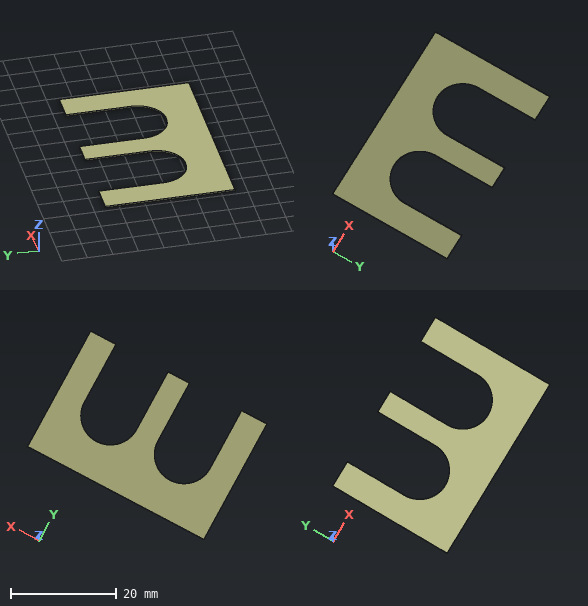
import cadquery as cq

plate_width = 38.1
plate_depth = 25.4
plate_thickness = 0.4

slot_width = 11.25
slot_spacing = 15.9
slot_radius = slot_width / 2
slot_length = plate_depth / 2


def slot_cutter(center_x):
    """U-shaped slot whose round end is centred on the X axis."""
    return (
        cq.Workplane("XY")
        .moveTo(center_x - slot_radius, slot_length)
        .lineTo(center_x - slot_radius, 0)
        .threePointArc((center_x, -slot_radius), (center_x + slot_radius, 0))
        .lineTo(center_x + slot_radius, slot_length)
        .close()
        .extrude(plate_thickness)
    )


result = cq.Workplane("XY").box(
    plate_width, plate_depth, plate_thickness, centered=(True, True, False)
)
for side in (-1, 1):
    result = result.cut(slot_cutter(side * slot_spacing / 2))